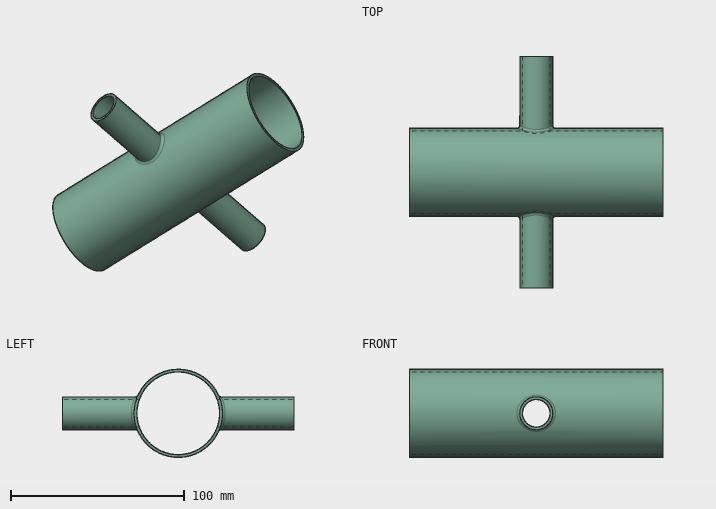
import cadquery as cq

run_length = 146.0
run_outer_diameter = 50.8
run_inner_diameter = 47.5

branch_span = 133.3
branch_outer_diameter = 19.0
branch_inner_diameter = 15.8

weld_fillet_radius = 1.6


def cylinder_along(plane, diameter, length):
    """Solid cylinder centred on the origin, along the normal of the plane."""
    return cq.Workplane(plane).circle(diameter / 2).extrude(length / 2, both=True)


run_body = cylinder_along("YZ", run_outer_diameter, run_length)
branch_body = cylinder_along("XZ", branch_outer_diameter, branch_span)
body = run_body.union(branch_body)

junction_zone = cq.selectors.BoxSelector(
    (-branch_outer_diameter, -run_outer_diameter, -branch_outer_diameter),
    (branch_outer_diameter, run_outer_diameter, branch_outer_diameter),
)
body = body.edges(junction_zone).fillet(weld_fillet_radius)

run_bore = cylinder_along("YZ", run_inner_diameter, run_length)
branch_bore = cylinder_along("XZ", branch_inner_diameter, branch_span)
result = body.cut(run_bore).cut(branch_bore)